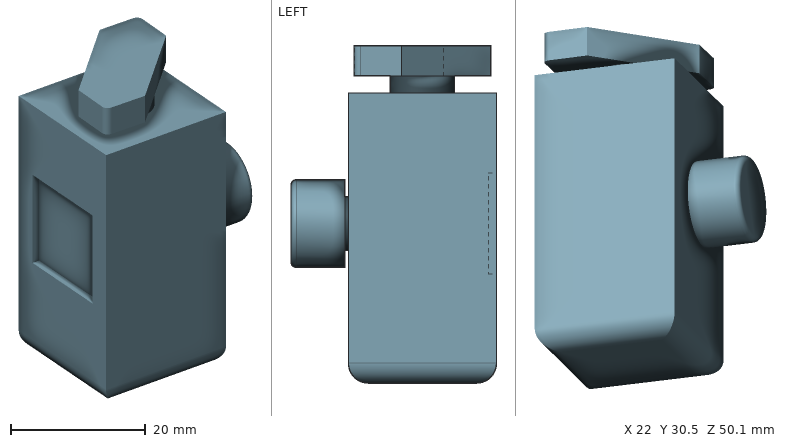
import cadquery as cq

HOUSING_WIDTH = 22.0
HOUSING_HEIGHT = 43.1
BASE_FILLET = 3.0

RECESS_SIZE = 15.05
RECESS_DEPTH = 1.2
SCREW_AXIS_HEIGHT = 23.7

TOTAL_HEIGHT = 50.1
PLATE_SIDE = 20.05
PLATE_BAND_WIDTH = 10.0
PLATE_THICKNESS = 4.5
PLATE_CORNER_RADIUS = 1.0
PLATE_TWIST = -1.0
BAND_ANGLE = -45.0
STEM_DIAMETER = 9.55
STEM_LENGTH = TOTAL_HEIGHT - PLATE_THICKNESS - HOUSING_HEIGHT

SCREW_HEAD_DIAMETER = 13.05
SCREW_HEAD_LENGTH = 8.0
SCREW_HEAD_FILLET = 0.8
SCREW_NECK_DIAMETER = 8.0
SCREW_NECK_LENGTH = 0.5


def make_housing():
    """Block with rounded bottom edges and a shallow square recess."""
    block = (
        cq.Workplane("XY")
        .rect(HOUSING_WIDTH, HOUSING_WIDTH)
        .extrude(HOUSING_HEIGHT)
        .faces("<Z")
        .edges()
        .fillet(BASE_FILLET)
    )
    recess = (
        cq.Workplane("XZ", origin=(0, RECESS_DEPTH - HOUSING_WIDTH / 2, SCREW_AXIS_HEIGHT))
        .rect(RECESS_SIZE, RECESS_SIZE)
        .extrude(RECESS_DEPTH)
    )
    return block.cut(recess).solids()


def make_hammer_bolt():
    """Round stem carrying a square plate trimmed to a diagonal band."""
    stem = (
        cq.Workplane("XY", origin=(0, 0, HOUSING_HEIGHT))
        .circle(STEM_DIAMETER / 2)
        .extrude(STEM_LENGTH)
    )
    plate_base = cq.Workplane("XY", origin=(0, 0, HOUSING_HEIGHT + STEM_LENGTH))
    square = (
        plate_base.rect(PLATE_SIDE, PLATE_SIDE)
        .extrude(PLATE_THICKNESS)
        .edges("|Z")
        .fillet(PLATE_CORNER_RADIUS)
    )
    band = (
        plate_base.transformed(rotate=(0, 0, BAND_ANGLE))
        .rect(2 * PLATE_SIDE, PLATE_BAND_WIDTH)
        .extrude(PLATE_THICKNESS)
    )
    plate = square.intersect(band).rotate((0, 0, 0), (0, 0, 1), PLATE_TWIST)
    return stem.union(plate).solids()


def make_screw():
    """Cylindrical head with a rounded outer rim, on a short neck."""
    back_face = cq.Workplane("XZ", origin=(0, HOUSING_WIDTH / 2, SCREW_AXIS_HEIGHT))
    neck = back_face.circle(SCREW_NECK_DIAMETER / 2).extrude(-SCREW_NECK_LENGTH)
    head = (
        back_face.workplane(offset=-SCREW_NECK_LENGTH)
        .circle(SCREW_HEAD_DIAMETER / 2)
        .extrude(-SCREW_HEAD_LENGTH)
        .faces(">Y")
        .edges()
        .fillet(SCREW_HEAD_FILLET)
    )
    return neck.union(head).solids()


housing = make_housing()
hammer_bolt = make_hammer_bolt()
screw = make_screw()

result = cq.Compound.makeCompound([housing.val(), hammer_bolt.val(), screw.val()])